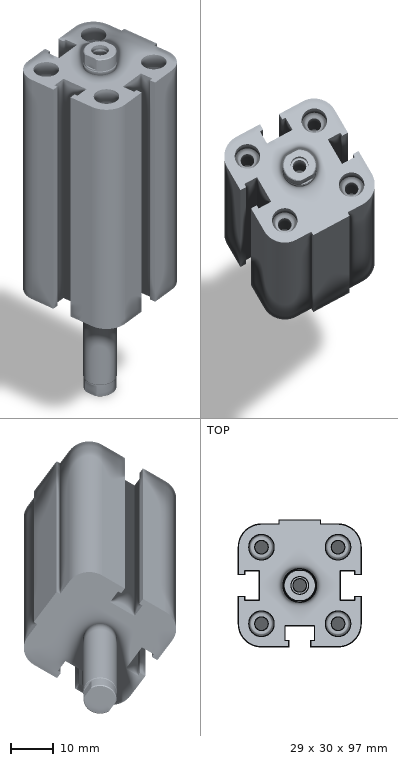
import cadquery as cq

housing_width = 29.0
housing_height = 63.05
corner_radius = 5.5

pad_width = 9.8
pad_height = 1.0

slot_depth = 4.9
slot_width = 6.9
slot_lip = 1.6
slot_mouth_width = 5.1

mount_spacing = 18.0
mount_hole_diameter = 3.2
mount_hole_depth = 12.6
counterbore_diameter = 6.0
counterbore_depth = 3.5

total_height = 97.0
rod_diameter = 8.0
rod_top = 67.5
rod_bottom = rod_top - total_height

end_diameter = 7.8
end_length = 3.6
shoulder_length = 0.2
flat_distance = 7.0
flat_length = 3.1
tip_chamfer = 0.2

bore_diameter = 3.2
bore_depth = 9.7
bore_recess_diameter = 4.2
bore_recess_depth = 1.2


def make_slot_cutter():
    """T-slot on the -Y side, open to the outside, over the full height."""
    outer_face = -housing_width / 2
    channel_length = slot_depth - slot_lip
    channel = (
        cq.Workplane("XY")
        .center(0, outer_face + slot_lip + channel_length / 2)
        .rect(slot_width, channel_length)
        .extrude(housing_height)
    )
    mouth = (
        cq.Workplane("XY")
        .center(0, outer_face + slot_depth / 2)
        .rect(slot_mouth_width, slot_depth)
        .extrude(housing_height)
    )
    return channel.union(mouth)


def make_housing():
    body = (
        cq.Workplane("XY")
        .rect(housing_width, housing_width)
        .extrude(housing_height)
        .edges("|Z")
        .fillet(corner_radius)
    )

    pad_reach = housing_width / 2 + pad_height
    pad = (
        cq.Workplane("XY")
        .center(0, pad_reach / 2)
        .rect(pad_width, pad_reach)
        .extrude(housing_height)
    )
    body = body.union(pad)

    slot_cutter = make_slot_cutter()
    for angle in (-90, 0, 90):
        body = body.cut(slot_cutter.rotate((0, 0, 0), (0, 0, 1), angle))

    body = (
        body.faces(">Z")
        .workplane(origin=(0, 0, housing_height))
        .rect(mount_spacing, mount_spacing, forConstruction=True)
        .vertices()
        .cboreHole(mount_hole_diameter, counterbore_diameter, counterbore_depth, mount_hole_depth)
    )

    rod_bore = cq.Workplane("XY").circle(rod_diameter / 2).extrude(housing_height)
    return body.cut(rod_bore)


def make_flat_cutter(end_z, inward):
    """Two blocks that leave the wrench flats at one rod end; inward is the Z direction into the rod."""
    flats = cq.Workplane("XY").workplane(offset=end_z)
    outer = flats.rect(2 * rod_diameter, 2 * rod_diameter).extrude(inward * flat_length)
    kept = flats.rect(2 * rod_diameter, flat_distance).extrude(inward * flat_length)
    return outer.cut(kept)


def make_rod():
    rod_radius = rod_diameter / 2
    end_radius = end_diameter / 2
    tip_radius = end_radius - tip_chamfer
    shoulder_top = rod_top - end_length
    shoulder_bottom = rod_bottom + end_length

    rod = (
        cq.Workplane("XZ")
        .moveTo(0, rod_bottom)
        .lineTo(tip_radius, rod_bottom)
        .lineTo(end_radius, rod_bottom + tip_chamfer)
        .lineTo(end_radius, shoulder_bottom - shoulder_length)
        .lineTo(rod_radius, shoulder_bottom)
        .lineTo(rod_radius, shoulder_top)
        .lineTo(end_radius, shoulder_top + shoulder_length)
        .lineTo(end_radius, rod_top - tip_chamfer)
        .lineTo(tip_radius, rod_top)
        .lineTo(0, rod_top)
        .close()
        .revolve(360, (0, 0, 0), (0, 1, 0))
    )

    for end_z, inward in ((rod_top, -1), (rod_bottom, 1)):
        rod = rod.cut(make_flat_cutter(end_z, inward))

    return (
        rod.faces(">Z")
        .workplane(origin=(0, 0, rod_top))
        .cboreHole(bore_diameter, bore_recess_diameter, bore_recess_depth, bore_depth)
    )


housing = make_housing()
rod = make_rod()
result = cq.Compound.makeCompound([housing.val(), rod.val()])